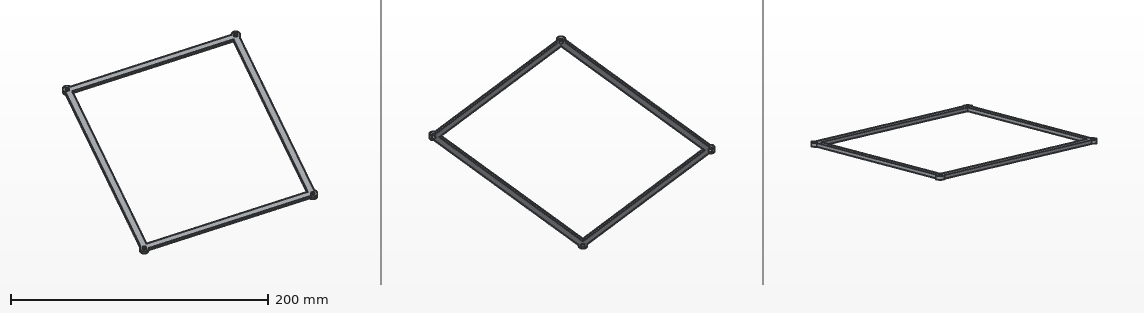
import cadquery as cq

length = 169.9
width = 148.0
thickness = 3.0

eyelet_diameter = 7.0
hole_diameter = 3.0

overhang_x = 2.0
overhang_y = 1.4

side_bar_width = 4.6
end_bar_width = 5.3

frame_length = length - 2 * overhang_x
frame_width = width - 2 * overhang_y
opening_length = frame_length - 2 * side_bar_width
opening_width = frame_width - 2 * end_bar_width
hole_spacing_x = length - eyelet_diameter
hole_spacing_y = width - eyelet_diameter


def plate(size_x, size_y):
    """Centred rectangular plate standing on the base plane."""
    return cq.Workplane("XY").rect(size_x, size_y).extrude(thickness)


def corner_cylinders(diameter):
    """Four full-height cylinders on the hole centres."""
    return (
        cq.Workplane("XY")
        .rect(hole_spacing_x, hole_spacing_y, forConstruction=True)
        .vertices()
        .circle(diameter / 2)
        .extrude(thickness)
    )


result = (
    plate(frame_length, frame_width)
    .union(corner_cylinders(eyelet_diameter))
    .cut(corner_cylinders(hole_diameter))
    .cut(plate(opening_length, opening_width))
)